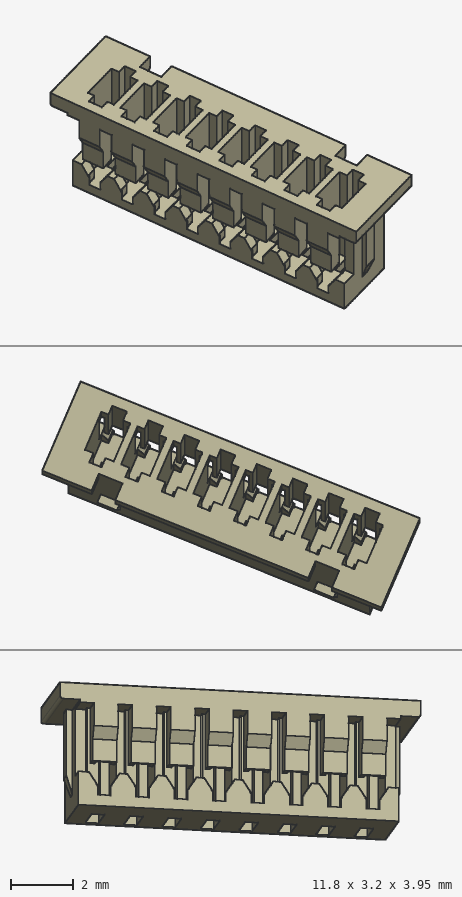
import cadquery as cq


height = 3.95
flange_length = 11.75
flange_depth = 3.2
flange_thickness = 0.54
flange_edge_radius = 0.1
body_length = 10.43

flange_front = -flange_depth / 2
flange_back = flange_depth / 2
base_front = -1.29
wall_front = -0.75
body_back = 1.0

roof_thickness = 0.63
roof_bottom = height - roof_thickness
base_top = 1.1

contact_count = 8
contact_row_length = 8.75
pitch = contact_row_length / (contact_count - 1)
cavity_width = 1.0
cavity_back = 0.43
cavity_floor = 0.36

slot_width = 0.42
slot_front = -0.26
slot_back = 0.76

lead_in_bottom = 0.67

finger_width = 0.79
finger_back = -0.93
finger_bottom = 1.46
finger_end_rise = 0.04
finger_tip_front = -1.39
finger_slope_top = 2.56
finger_slope_bottom = 2.17

groove_width = 0.5
groove_front = -1.25

rail_projection = 0.21
rail_center_y = -0.12
rail_tip_width = 0.47
rail_root_width = 0.3
rail_taper_top = 1.21
rail_bottom = 0.61

hook_center_x = 3 * pitch
hook_width = 0.68
hook_projection = 0.29
hook_top = 1.5
hook_bottom = 0.55
notch_width = 0.82

contact_centers = [(i - (contact_count - 1) / 2) * pitch for i in range(contact_count)]


def box(x_center, width, y_front, y_back, z_bottom, z_top):
    """Box centred on x_center between the given Y and Z limits."""
    return (
        cq.Workplane("XY", origin=(x_center, 0, z_bottom))
        .center(0, (y_front + y_back) / 2)
        .rect(width, y_back - y_front)
        .extrude(z_top - z_bottom)
    )


def side_profile(points, x_center, width):
    """Closed (Y, Z) outline extruded along X, centred on x_center."""
    return cq.Workplane("YZ", origin=(x_center, 0, 0)).polyline(points).close().extrude(width / 2, both=True)


def make_flange():
    """Top flange, rounded along the lower edge of its back and ends."""
    flange = box(0, flange_length, flange_front, flange_back, height - flange_thickness, height)
    flange = flange.faces("<Z").edges(">Y or <X or >X").fillet(flange_edge_radius)
    for side in (-1, 1):
        flange = flange.cut(
            box(side * hook_center_x, notch_width, body_back, flange_back, height - flange_thickness, height)
        )
    return flange


def make_body():
    """Body with a forward roof under the flange and a forward base."""
    outline = [
        (body_back, 0),
        (base_front, 0),
        (base_front, base_top),
        (wall_front, base_top),
        (wall_front, roof_bottom),
        (flange_front, roof_bottom),
        (flange_front, height - flange_thickness),
        (body_back, height - flange_thickness),
    ]
    return side_profile(outline, 0, body_length)


def make_rail():
    """Dovetail rail on the +X end, its lower end sloping back into the body."""
    root_x = body_length / 2
    tip_x = root_x + rail_projection
    rail_top = height - flange_thickness
    dovetail = (
        cq.Workplane("XY", origin=(0, rail_center_y, rail_bottom))
        .polyline(
            [
                (root_x, -rail_root_width / 2),
                (tip_x, -rail_tip_width / 2),
                (tip_x, rail_tip_width / 2),
                (root_x, rail_root_width / 2),
            ]
        )
        .close()
        .extrude(rail_top - rail_bottom)
    )
    end_slope = (
        cq.Workplane("XZ", origin=(0, rail_center_y, 0))
        .polyline([(root_x, rail_bottom), (tip_x, rail_bottom), (tip_x, rail_taper_top)])
        .close()
        .extrude(rail_tip_width, both=True)
    )
    return dovetail.cut(end_slope)


def make_hook(x_center):
    """Wedge-shaped snap hook with a flat upper face."""
    outline = [
        (body_back, hook_bottom),
        (body_back + hook_projection, hook_top),
        (body_back, hook_top),
    ]
    return side_profile(outline, x_center, hook_width)


def make_finger(x_center):
    """Stepped finger hanging from the roof."""
    outline = [
        (flange_front, roof_bottom),
        (flange_front, finger_slope_top),
        (finger_tip_front, finger_slope_bottom),
        (finger_tip_front, finger_bottom),
        (finger_back, finger_bottom + finger_end_rise),
        (finger_back, roof_bottom),
    ]
    return side_profile(outline, x_center, finger_width)


def make_cavity(x_center):
    """Contact cavity, full-height slot and flared opening in the front of the base."""
    cavity = box(x_center, cavity_width, finger_back, cavity_back, cavity_floor, height)
    slot = box(x_center, slot_width, slot_front, slot_back, 0, height)
    lead_in = (
        cq.Workplane("XZ", origin=(x_center, finger_back, 0))
        .polyline(
            [
                (-slot_width / 2, cavity_floor),
                (slot_width / 2, cavity_floor),
                (slot_width / 2, lead_in_bottom),
                (cavity_width / 2, base_top),
                (-cavity_width / 2, base_top),
                (-slot_width / 2, lead_in_bottom),
            ]
        )
        .close()
        .extrude(finger_back - base_front)
    )
    return cavity.union(slot).union(lead_in)


def make_groove(x_center):
    """Groove along the front of the cavity, from the floor through the finger to the top."""
    return box(x_center, groove_width, groove_front, finger_back, cavity_floor, height)


right_rail = make_rail()
result = make_body().union(make_flange()).union(right_rail).union(right_rail.mirror("YZ"))

for hook_side in (-1, 1):
    result = result.union(make_hook(hook_side * hook_center_x))

for center in contact_centers:
    result = result.union(make_finger(center))
    result = result.cut(make_cavity(center))
    result = result.cut(make_groove(center))